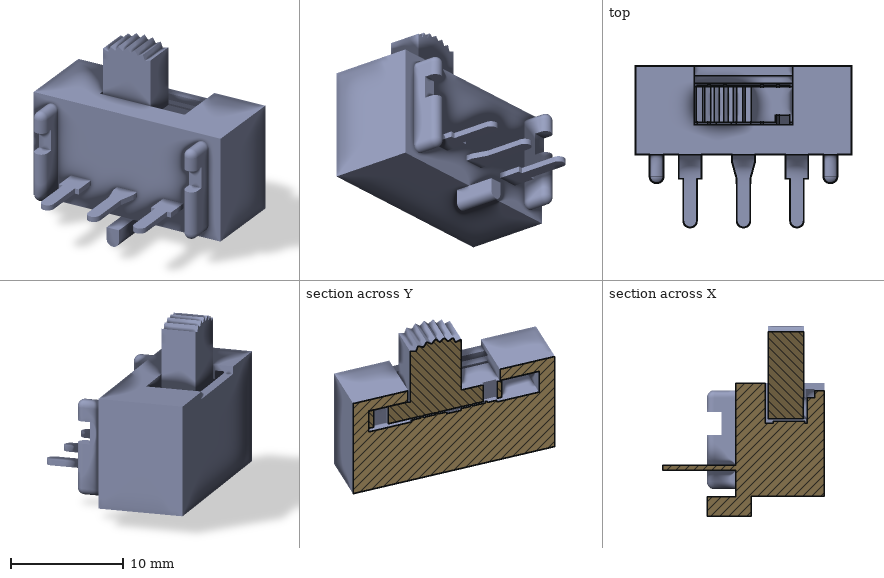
import cadquery as cq
import math


HOUSING_LENGTH = 19.3
HOUSING_DEPTH = 7.93
HOUSING_HEIGHT = 10.17

OPENING_HALF = 4.38
OPENING_FRONT = 2.68
BACK_STEP_DROP = 0.7
BACK_STEP_FRONT = 7.06

CAVITY_BACK = 6.39
CEILING_DROP = 1.31
CHANNEL_DROP = 0.55
CHANNEL_FRONT = 6.23

PLATE_HALF = 4.13
PLATE_BACK = 6.2
PLATE_HEIGHT = 0.2
PLATE_GAP_HALF = 0.65
PLATE_GAP_DEPTH = 0.65
RIB_PLACES = (1.65, 3.09)
RIB_WIDTH = 0.23
RIB_BACK = 6.27
RIB_HEIGHT = 0.15

STANDOFF_WIDTH = 1.27
STANDOFF_REACH = 2.55
STANDOFF_PLACE = 7.75
STANDOFF_BOTTOM = 0.68
STANDOFF_TOP = HOUSING_HEIGHT - STANDOFF_BOTTOM
STANDOFF_NOTCH_BOTTOM = 5.5
STANDOFF_NOTCH_TOP = 7.57
STANDOFF_NOTCH_REACH = 1.24

TAB_BACK = 1.43
TAB_DROP = 1.78

TERMINAL_PITCH = 4.77
TERMINAL_Z = 2.59
TERMINAL_THICKNESS = 0.5
TERMINAL_REACH = 6.5
ROOT_WIDTH = 2.07
BLADE_WIDTH = 1.24
SHOULDER_REACH = 2.16
TAPER_START = 0.65

KNOB_CENTRE = -1.75
KNOB_FRONT = 2.91
KNOB_BACK = 6.1
KNOB_RISE = 5.08
TOOTH_TIP_RADIUS = 4.75
TOOTH_ROOT_RADIUS = 4.32
TOOTH_PITCH_ANGLE = 10.4
END_TOOTH = 3
BASE_HALF = 6.37
BASE_BACK = 6.06
BASE_THICKNESS = 1.93
NUB_WIDTH = 1.31
NOTCH_OFFSET = 5.23
NOTCH_DEPTH = 0.62

BASE_TOP = HOUSING_HEIGHT - CEILING_DROP
BASE_BOTTOM = BASE_TOP - BASE_THICKNESS
CAVITY_FLOOR = BASE_BOTTOM - RIB_HEIGHT - PLATE_HEIGHT
CAVITY_HALF = BASE_HALF - KNOB_CENTRE


def block(x_range, y_range, z_range):
    """A box given by its limits along each axis."""
    (x0, x1), (y0, y1), (z0, z1) = x_range, y_range, z_range
    return cq.Workplane("XY").box(x1 - x0, y1 - y0, z1 - z0, centered=False).translate((x0, y0, z0))


def make_shell():
    """The block with its top opening, the slider cavity and the channel above the cavity's back."""
    half = HOUSING_LENGTH / 2
    top = HOUSING_HEIGHT
    opening = (-OPENING_HALF, OPENING_HALF)
    cavity = (-CAVITY_HALF, CAVITY_HALF)
    shell = block((-half, half), (0, HOUSING_DEPTH), (0, top))
    shell = shell.cut(block(opening, (BACK_STEP_FRONT, HOUSING_DEPTH), (top - BACK_STEP_DROP, top)))
    shell = shell.cut(block(opening, (OPENING_FRONT, BACK_STEP_FRONT), (BASE_TOP, top)))
    shell = shell.cut(block(cavity, (OPENING_FRONT, CAVITY_BACK), (CAVITY_FLOOR, BASE_TOP)))
    return shell.cut(block(cavity, (CHANNEL_FRONT, BACK_STEP_FRONT), (BASE_TOP, top - CHANNEL_DROP)))


def make_contact_plate():
    """The plate on the cavity floor, with its front gap and its ribs."""
    plate_z = (CAVITY_FLOOR, CAVITY_FLOOR + PLATE_HEIGHT)
    plate = block((-PLATE_HALF, PLATE_HALF), (OPENING_FRONT, PLATE_BACK), plate_z)
    gap_y = (OPENING_FRONT, OPENING_FRONT + PLATE_GAP_DEPTH)
    plate = plate.cut(block((-PLATE_GAP_HALF, PLATE_GAP_HALF), gap_y, plate_z))
    for side in (-1, 1):
        for place in RIB_PLACES:
            rib_x = (side * place - RIB_WIDTH / 2, side * place + RIB_WIDTH / 2)
            plate = plate.union(block(rib_x, (OPENING_FRONT, RIB_BACK), (CAVITY_FLOOR, BASE_BOTTOM)))
    return plate


def make_standoff(x):
    """An upright bar with round ends and a round nose, notched near its top."""
    radius = STANDOFF_WIDTH / 2
    nose = -STANDOFF_REACH + radius
    low = STANDOFF_BOTTOM + radius
    high = STANDOFF_TOP - radius
    sides = (x - radius, x + radius)
    bar = block(sides, (nose, 0), (low, high))
    bar = bar.union(cq.Workplane("XY", origin=(x, nose, low)).circle(radius).extrude(high - low))
    for z in (low, high):
        bar = bar.union(cq.Workplane("XZ", origin=(x, 0, z)).circle(radius).extrude(-nose))
        bar = bar.union(cq.Workplane("XY", origin=(x, nose, z)).sphere(radius))
    notch_z = (STANDOFF_NOTCH_BOTTOM, STANDOFF_NOTCH_TOP)
    return bar.cut(block(sides, (-STANDOFF_REACH, -STANDOFF_NOTCH_REACH), notch_z))


def make_tab():
    """The tab under the housing, with a round lower edge."""
    radius = STANDOFF_WIDTH / 2
    return (
        cq.Workplane("XZ", origin=(0, TAB_BACK, 0))
        .moveTo(-radius, 0)
        .lineTo(-radius, radius - TAB_DROP)
        .threePointArc((0, -TAB_DROP), (radius, radius - TAB_DROP))
        .lineTo(radius, 0)
        .close()
        .extrude(TAB_BACK + STANDOFF_REACH)
    )


def make_terminal(x, root_end):
    """A flat round-tipped terminal whose wide root ends at root_end and narrows by SHOULDER_REACH."""
    root = ROOT_WIDTH / 2
    blade = BLADE_WIDTH / 2
    tip_start = blade - TERMINAL_REACH
    outline = cq.Workplane("XY", origin=(x, 0, TERMINAL_Z - TERMINAL_THICKNESS / 2))
    return (
        outline.moveTo(-root, 0)
        .lineTo(-root, -root_end)
        .lineTo(-blade, -SHOULDER_REACH)
        .lineTo(-blade, tip_start)
        .threePointArc((0, -TERMINAL_REACH), (blade, tip_start))
        .lineTo(blade, -SHOULDER_REACH)
        .lineTo(root, -root_end)
        .lineTo(root, 0)
        .close()
        .extrude(TERMINAL_THICKNESS)
    )


def make_housing():
    housing = make_shell().union(make_contact_plate()).union(make_tab())
    for side in (-1, 1):
        housing = housing.union(make_standoff(side * STANDOFF_PLACE))
        housing = housing.union(make_terminal(side * TERMINAL_PITCH, SHOULDER_REACH))
    return housing.union(make_terminal(0, TAPER_START))


def make_knob():
    """The finger knob; its teeth alternate between two concentric arcs."""
    arc_centre_z = HOUSING_HEIGHT + KNOB_RISE - TOOTH_TIP_RADIUS
    teeth = []
    for step in range(-2 * END_TOOTH, 2 * END_TOOTH + 1):
        angle = math.radians(step * TOOTH_PITCH_ANGLE / 2)
        radius = TOOTH_TIP_RADIUS if step % 2 == 0 else TOOTH_ROOT_RADIUS
        teeth.append((radius * math.sin(angle), arc_centre_z + radius * math.cos(angle)))
    half = teeth[-1][0]
    outline = [(-half, BASE_TOP), *teeth, (half, BASE_TOP)]
    knob = cq.Workplane("XZ", origin=(KNOB_CENTRE, KNOB_BACK, 0)).polyline(outline).close()
    return knob.extrude(KNOB_BACK - KNOB_FRONT)


def make_slider():
    """The knob on its base; the base has a guide nub in front, between two notches."""
    base_z = (BASE_BOTTOM, BASE_TOP)
    half = NUB_WIDTH / 2
    base_x = (KNOB_CENTRE - BASE_HALF, KNOB_CENTRE + BASE_HALF)
    base = block(base_x, (KNOB_FRONT, BASE_BACK), base_z)
    nub_x = (KNOB_CENTRE - half, KNOB_CENTRE + half)
    base = base.union(block(nub_x, (OPENING_FRONT, KNOB_FRONT), base_z))
    for side in (-1, 1):
        centre = KNOB_CENTRE + side * NOTCH_OFFSET
        notch_x = (centre - half, centre + half)
        base = base.cut(block(notch_x, (KNOB_FRONT, KNOB_FRONT + NOTCH_DEPTH), base_z))
    return base.union(make_knob())


housing = make_housing()
slider = make_slider()

result = cq.Compound.makeCompound([housing.solids().val(), slider.solids().val()])